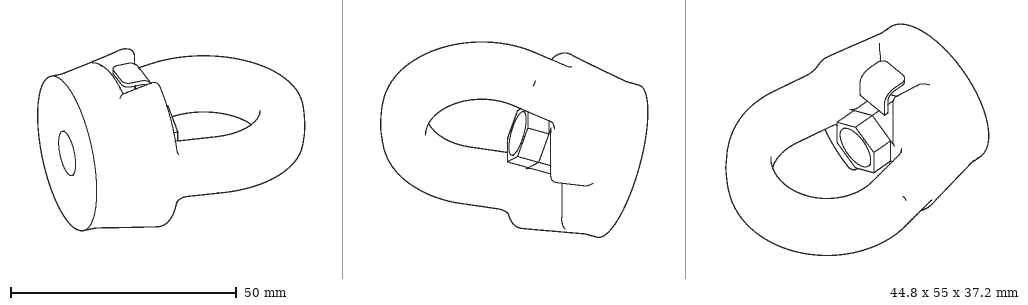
import cadquery as cq
import math


TOTAL_HEIGHT = 55
BASE_RADIUS = 17.5
BASE_HEIGHT = 3.0
RING_DIAMETER = 44.8
RING_RADIUS = RING_DIAMETER / 2
RING_CENTER_Y = TOTAL_HEIGHT - RING_RADIUS
SHOULDER_Y = 19.0
RING_THICKNESS = 10.0
HALF_THICKNESS = RING_THICKNESS / 2
OPENING_RADIUS = 12.45
BORE_RADIUS = 5.0

OPENING_EDGE_RADIUS = 1.6
ROOT_RADIUS = 1.6
OUTER_EDGE_RADIUS = 1.25
POCKET_EDGE_RADIUS = 1.65

NUT_WIDTH = 12.0
NUT_HEIGHT = 5.05
NUT_CORNER_RADIUS = NUT_WIDTH / math.sqrt(3)
POCKET_FLOOR_Y = 11

CLIP_WIDTH = 8.05
CLIP_THICKNESS = 1.0
CLIP_BEND_RADIUS = 2.85
CLIP_TOP_Z = 17.4
CLIP_BOTTOM_Z = 10.45
CLIP_TIP_Y = 12.05
CLIP_CORNER_RADIUS = 1.6

CENTER_RISE = RING_CENTER_Y - BASE_HEIGHT
CENTER_DISTANCE = math.hypot(BASE_RADIUS, CENTER_RISE)
TAPER = math.asin(RING_RADIUS / CENTER_DISTANCE) - math.atan2(BASE_RADIUS, CENTER_RISE)

REACH = 2 * RING_RADIUS
TOLERANCE = 0.005


def tangent_point(radius):
    """Point where a leg of the ring, leaning at TAPER, touches a circle about the ring's centre."""
    return radius * math.cos(TAPER), RING_CENTER_Y - radius * math.sin(TAPER)


def revolved_blank():
    """Base disc, cone and ball that hold the whole housing."""
    tangent_x, tangent_y = tangent_point(RING_RADIUS)
    diagonal = RING_RADIUS * math.sqrt(0.5)
    return (
        cq.Workplane("XY")
        .lineTo(BASE_RADIUS, 0)
        .lineTo(BASE_RADIUS, BASE_HEIGHT)
        .lineTo(tangent_x, tangent_y)
        .threePointArc((diagonal, RING_CENTER_Y + diagonal), (0, TOTAL_HEIGHT))
        .close()
        .revolve(360, (0, 0, 0), (0, 1, 0))
    )


def ring_flank():
    """Space above the shoulder on the +Z side of the ring."""
    return cq.Workplane("XY", origin=(0, SHOULDER_Y, HALF_THICKNESS)).box(
        2 * REACH, REACH, REACH, centered=(True, False, False)
    )


def ring_opening():
    tangent_x, tangent_y = tangent_point(OPENING_RADIUS)
    foot_x = tangent_x - (tangent_y - SHOULDER_Y) * math.tan(TAPER)
    return (
        cq.Workplane("XY")
        .moveTo(-foot_x, SHOULDER_Y)
        .lineTo(foot_x, SHOULDER_Y)
        .lineTo(tangent_x, tangent_y)
        .threePointArc((0, RING_CENTER_Y + OPENING_RADIUS), (-tangent_x, tangent_y))
        .close()
        .extrude(REACH, both=True)
        .edges("|Z and <Y")
        .fillet(ROOT_RADIUS)
    )


def bore():
    return cq.Workplane("XZ").circle(BORE_RADIUS).extrude(-RING_CENTER_Y)


def pocket(bottom_y):
    """Pocket above the nut's two upper flats, open at the shoulder."""
    half_width = NUT_WIDTH / 2
    return (
        cq.Workplane("XZ", origin=(0, bottom_y, 0))
        .moveTo(0, NUT_CORNER_RADIUS)
        .lineTo(half_width, NUT_CORNER_RADIUS / 2)
        .lineTo(half_width, REACH)
        .lineTo(-half_width, REACH)
        .lineTo(-half_width, NUT_CORNER_RADIUS / 2)
        .close()
        .extrude(bottom_y - SHOULDER_Y)
    )


def edges_where(body, test):
    return body.newObject([edge for edge in body.edges().vals() if test(edge.BoundingBox())])


def in_shoulder_plane(box):
    return abs(box.ymin - SHOULDER_Y) < TOLERANCE and box.ylen < TOLERANCE


def in_ring_face(box):
    return box.zlen < TOLERANCE and abs(abs(box.zmax) - HALF_THICKNESS) < TOLERANCE


def half_span(box):
    """Largest distance of an edge from the plane X = 0."""
    return max(abs(box.xmin), abs(box.xmax))


def is_root_edge(box):
    return in_ring_face(box) and in_shoulder_plane(box)


def is_opening_edge(box):
    return in_ring_face(box) and half_span(box) < OPENING_RADIUS + TOLERANCE


def is_pocket_edge(box):
    """Edge between a pocket's side wall and the cone."""
    on_wall = box.xlen < TOLERANCE and abs(half_span(box) - NUT_WIDTH / 2) < TOLERANCE
    above_nut = min(abs(box.zmin), abs(box.zmax)) > NUT_CORNER_RADIUS
    return on_wall and above_nut and box.ylen > TOLERANCE


def is_outer_edge(box):
    return in_ring_face(box) and half_span(box) > BASE_RADIUS and box.ylen > TOLERANCE


def base_with_rounded_rim():
    """Lower part of the housing, whose rounded rim forms the lower ends of the pockets."""
    rim_radius = BASE_RADIUS + (POCKET_FLOOR_Y - BASE_HEIGHT) * math.tan(TAPER)
    return (
        cq.Workplane("XY")
        .lineTo(BASE_RADIUS, 0)
        .lineTo(BASE_RADIUS, BASE_HEIGHT)
        .lineTo(rim_radius, POCKET_FLOOR_Y)
        .lineTo(0, POCKET_FLOOR_Y)
        .close()
        .revolve(360, (0, 0, 0), (0, 1, 0))
        .edges(">Y")
        .fillet(POCKET_EDGE_RADIUS)
    )


def make_housing():
    flank = ring_flank()
    deep_pocket = pocket(POCKET_FLOOR_Y / 2)
    body = revolved_blank().cut(flank).cut(flank.mirror("XY"))
    body = edges_where(body, is_root_edge).fillet(ROOT_RADIUS)
    body = body.cut(ring_opening())
    body = edges_where(body, is_opening_edge).fillet(OPENING_EDGE_RADIUS)
    body = body.cut(deep_pocket).cut(deep_pocket.mirror("XY"))
    body = edges_where(body, is_pocket_edge).fillet(POCKET_EDGE_RADIUS)
    body = edges_where(body, is_outer_edge).fillet(OUTER_EDGE_RADIUS)
    return body.union(base_with_rounded_rim()).cut(bore())


def make_nut():
    return (
        cq.Workplane("XZ", origin=(0, SHOULDER_Y, 0))
        .transformed(rotate=(0, 0, 30))
        .polygon(6, 2 * NUT_CORNER_RADIUS)
        .extrude(-NUT_HEIGHT)
        .cut(bore())
    )


def make_clip():
    """Flat tongue that bends down into a web flush with the shoulder."""
    inner_bend_radius = CLIP_BEND_RADIUS - CLIP_THICKNESS
    bend_y = SHOULDER_Y - CLIP_BEND_RADIUS
    bend_z = CLIP_TOP_Z - CLIP_BEND_RADIUS
    outer_diagonal = CLIP_BEND_RADIUS * math.sqrt(0.5)
    inner_diagonal = inner_bend_radius * math.sqrt(0.5)
    return (
        cq.Workplane("YZ")
        .moveTo(CLIP_TIP_Y, CLIP_TOP_Z)
        .lineTo(bend_y, CLIP_TOP_Z)
        .threePointArc((bend_y + outer_diagonal, bend_z + outer_diagonal), (SHOULDER_Y, bend_z))
        .lineTo(SHOULDER_Y, CLIP_BOTTOM_Z)
        .lineTo(SHOULDER_Y - CLIP_THICKNESS, CLIP_BOTTOM_Z)
        .lineTo(SHOULDER_Y - CLIP_THICKNESS, bend_z)
        .threePointArc((bend_y + inner_diagonal, bend_z + inner_diagonal), (bend_y, bend_z + inner_bend_radius))
        .lineTo(CLIP_TIP_Y, CLIP_TOP_Z - CLIP_THICKNESS)
        .close()
        .extrude(CLIP_WIDTH / 2, both=True)
        .edges("|Z and <Y")
        .fillet(CLIP_CORNER_RADIUS)
    )


housing = make_housing()
nut = make_nut()
clip = make_clip()

result = cq.Compound.makeCompound([housing.val(), nut.val(), clip.val()])